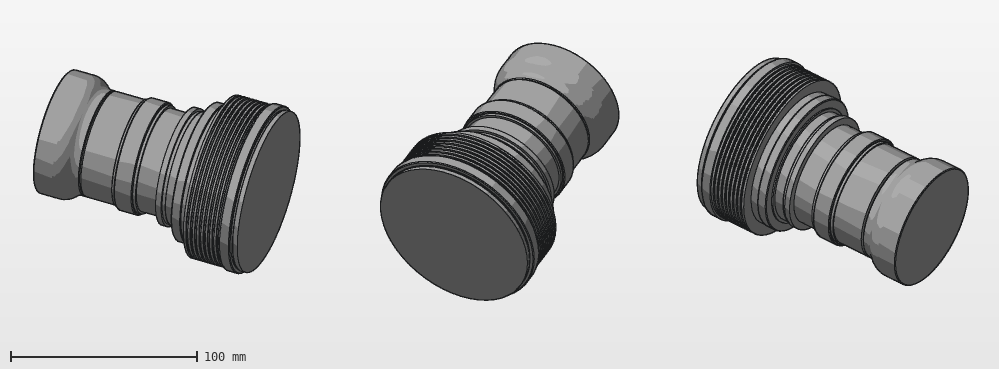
import cadquery as cq
import math

TOTAL_LENGTH = 122.5
EDGE_CHAMFER = 0.5

HEAD_RADIUS = 34.5
HEAD_STRAIGHT_END = 11.3
BLEND_END = 22.5
HEAD_SHOULDER_ARC_RADIUS = 10.3
COLLAR_RADIUS = 29.5
COLLAR_END = 24.7

UNDERCUT_RADIUS = 24.0
UNDERCUT_END = 25.7
NECK_RADIUS = COLLAR_RADIUS

RING_START = 43.9
RING_WIDTH = 13.7
RING_RADIUS = 30.3
BAND_WIDTH = 10.5
BAND_RADIUS = 31.5
RING_END = RING_START + RING_WIDTH
BAND_START = RING_START + (RING_WIDTH - BAND_WIDTH) / 2

REAR_NECK_RADIUS = 28.9
LOCK_RING_START = 70.3
LOCK_RING_END = 73.5
LOCK_RING_RADIUS = 33.0
RELIEF_END = 75.5
RELIEF_RADIUS = 31.5
SLEEVE_END = 80.7
SLEEVE_RADIUS = 31.9
WASHER_RADIUS = 33.7

HUB_START = 81.6
HUB_STEP = 87.2
HUB_RADIUS = 39.0
HUB_REAR_RADIUS = 38.7

DRUM_START = 91.5
DRUM_RADIUS = 45.6
GROOVE_COUNT = 8
GROOVED_LENGTH = 20.1
GROOVE_PITCH = GROOVED_LENGTH / GROOVE_COUNT
GROOVE_WIDTH = 1.1
GROOVE_DEPTH = 1.0
FIRST_GROOVE_START = DRUM_START + GROOVE_PITCH - GROOVE_WIDTH

FLANGE_START = 113.0
FLANGE_END = 118.6
FLANGE_DIAMETER = 93.5
FLANGE_RADIUS = FLANGE_DIAMETER / 2
LIP_RELIEF_END = 119.7
LIP_RELIEF_RADIUS = 44.5
LIP_RADIUS = 45.0


def cylinder(start, end, radius):
    """Cylinder on the X axis between two X positions."""
    return cq.Workplane("YZ", origin=(start, 0, 0)).circle(radius).extrude(end - start)


def make_head():
    """Head whose shoulder falls to the collar in two tangent arcs, convex then concave."""
    drop = HEAD_RADIUS - COLLAR_RADIUS
    run = BLEND_END - HEAD_STRAIGHT_END
    turn = 2 * math.atan2(drop, run)
    hollow_arc_radius = run / math.sin(turn) - HEAD_SHOULDER_ARC_RADIUS

    def shoulder_point(angle):
        return (
            HEAD_STRAIGHT_END + HEAD_SHOULDER_ARC_RADIUS * math.sin(angle),
            HEAD_RADIUS - HEAD_SHOULDER_ARC_RADIUS * (1 - math.cos(angle)),
        )

    def hollow_point(angle):
        return (
            BLEND_END - hollow_arc_radius * math.sin(angle),
            COLLAR_RADIUS + hollow_arc_radius * (1 - math.cos(angle)),
        )

    profile = (
        cq.Workplane("XY")
        .moveTo(0, 0)
        .lineTo(0, HEAD_RADIUS - EDGE_CHAMFER)
        .lineTo(EDGE_CHAMFER, HEAD_RADIUS)
        .lineTo(HEAD_STRAIGHT_END, HEAD_RADIUS)
        .threePointArc(shoulder_point(turn / 2), shoulder_point(turn))
        .threePointArc(hollow_point(turn / 2), (BLEND_END, COLLAR_RADIUS))
        .lineTo(COLLAR_END - EDGE_CHAMFER, COLLAR_RADIUS)
        .lineTo(COLLAR_END, COLLAR_RADIUS - EDGE_CHAMFER)
        .lineTo(COLLAR_END, 0)
        .close()
    )
    return profile.revolve(360, (0, 0, 0), (1, 0, 0))


def make_neck():
    """Undercut, neck, stepped ring and rear neck."""
    band = cylinder(BAND_START, BAND_START + BAND_WIDTH, BAND_RADIUS).edges().chamfer(EDGE_CHAMFER)
    return (
        cylinder(COLLAR_END, UNDERCUT_END, UNDERCUT_RADIUS)
        .union(cylinder(UNDERCUT_END, RING_START, NECK_RADIUS))
        .union(cylinder(RING_START, RING_END, RING_RADIUS))
        .union(band)
        .union(cylinder(RING_END, LOCK_RING_START, REAR_NECK_RADIUS))
    )


def make_hub():
    """Small steps in front of the hub, then the hub itself."""
    front = cylinder(HUB_START, HUB_STEP, HUB_RADIUS).edges().chamfer(EDGE_CHAMFER)
    return (
        cylinder(LOCK_RING_START, LOCK_RING_END, LOCK_RING_RADIUS)
        .union(cylinder(LOCK_RING_END, RELIEF_END, RELIEF_RADIUS))
        .union(cylinder(RELIEF_END, SLEEVE_END, SLEEVE_RADIUS))
        .union(cylinder(SLEEVE_END, HUB_START, WASHER_RADIUS))
        .union(front)
        .union(cylinder(HUB_STEP, DRUM_START, HUB_REAR_RADIUS))
    )


def make_drum():
    """Drum with evenly spaced square grooves around it."""
    drum = cylinder(DRUM_START, FLANGE_START, DRUM_RADIUS)
    for index in range(GROOVE_COUNT):
        start = FIRST_GROOVE_START + index * GROOVE_PITCH
        end = start + GROOVE_WIDTH
        floor = cylinder(start, end, DRUM_RADIUS - GROOVE_DEPTH)
        drum = drum.cut(cylinder(start, end, DRUM_RADIUS).cut(floor))
    return drum


def make_flange():
    """Flange with a chamfered rear edge, followed by the end lip."""
    flange = cylinder(FLANGE_START, FLANGE_END, FLANGE_RADIUS).faces(">X").edges().chamfer(EDGE_CHAMFER)
    return (
        flange
        .union(cylinder(FLANGE_END, LIP_RELIEF_END, LIP_RELIEF_RADIUS))
        .union(cylinder(LIP_RELIEF_END, TOTAL_LENGTH, LIP_RADIUS))
    )


result = make_head()
for section in (make_neck(), make_hub(), make_drum(), make_flange()):
    result = result.union(section)